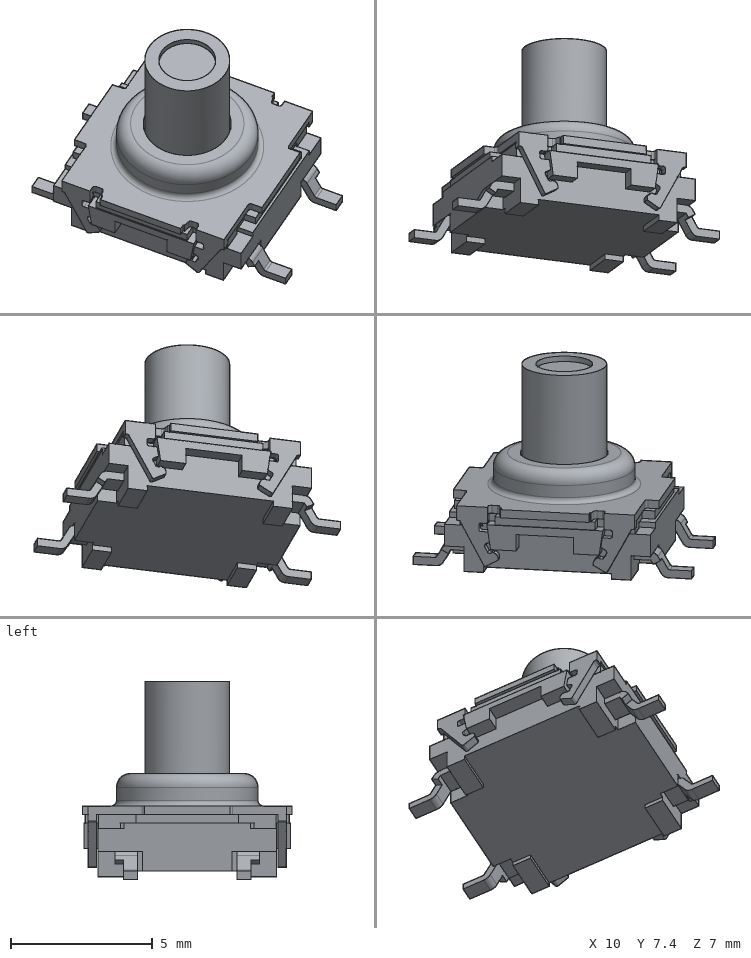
import cadquery as cq
import math

base_bottom = 0.3
foot_bottom = 0.1
recess_top = 1.0
ledge_top = 1.8
base_top = 2.0
seal_top = 2.3
cover_top = 2.6
dome_top = 3.75
plunger_top = 7.0

base_half_x = 3.7
base_half_y = 3.15
plateau_half_x = 2.33
plateau_half_y = 2.23
foot_inner_x = 2.3
foot_inner_y = 1.75
recess_wall_x = 3.0
recess_wall_y = 1.58

boss_face_y = 3.65
boss_top_half = 2.08
boss_bottom_half = 1.95
boss_bottom = 1.1
boss_notch_half = 1.03
boss_notch_top = 1.7

seal_half = 3.14
seal_tab_half_width = 1.8
seal_tab_reach = 3.6
seal_slot_half_x = 2.4
seal_slot_half_y = 2.36

cover_reach = 3.7
cover_half_x = 3.2
cover_half_y = 3.5
side_tab_half = 1.5
end_tab_half = 1.59
notch_outer_x = 2.09
notch_inner_x = 1.71
notch_floor_y = 3.2
notch_radius = 0.1

leg_shoulder = 2.07
leg_shoulder_x = 3.09
leg_shoulder_radius = 0.1
leg_toe = (2.19, 0.41)
leg_toe_radius = 0.06
window_inner_x = 2.32
window_bottom = 1.7
window_radius = 0.08

hook_tip = (1.71, 0.68)
hook_side = (1.71, 0.75)
hook_crown = (1.77, 0.89)
hook_top = (1.87, 0.95)
hook_throat_start = (1.93, 0.95)
hook_throat = (2.0, 0.92)
hook_throat_end = (2.08, 0.95)
hook_gap_side = (2.18, 1.13)
hook_gap_corner = (2.19, 1.2)
hook_gap_top = (2.15, 1.25)
hook_gap_exit = 1.36

dome_radius = 2.5
dome_edge_radius = 0.5
dome_root_radius = 0.2
dome_bore_radius = 1.55
plunger_radius = 1.5
plunger_recess_radius = 1.0
plunger_recess_depth = 0.2

terminal_thickness = 0.3
terminal_reach = 5.0
terminal_bend_x = 3.595
terminal_slope = math.radians(60)
terminal_heel_radius = 0.1
terminal_inner_y = foot_inner_y
terminal_outer_y = 2.25
ear_outer_y = 2.55
ear_drop = 0.15

arc_share = 1 - math.sqrt(0.5)


def centred_block(half_x, half_y, bottom, top):
    """Box centred on the Z axis between two heights."""
    height = top - bottom
    return cq.Workplane("XY", origin=(0, 0, bottom)).rect(2 * half_x, 2 * half_y).extrude(height)


def corner_block(x_range, y_range, z_range):
    """Box given by its limits along X, Y and Z."""
    size = [high - low for low, high in (x_range, y_range, z_range)]
    origin = (x_range[0], y_range[0], z_range[0])
    return cq.Workplane("XY", origin=origin).box(*size, centered=False)


def xz_sketch(y):
    """Workplane with local axes X and Z, whose negative extrusion runs toward +Y."""
    return cq.Workplane("XZ", origin=(0, y, 0))


def both_ends(body):
    """The body and its mirror image across the XZ plane."""
    return body.union(body.mirror("XZ"))


def four_corners(body):
    """The body of the +X +Y quadrant, repeated in all four quadrants."""
    pair = body.union(body.mirror("YZ"))
    return both_ends(pair)


def make_boss():
    depth = boss_face_y - base_half_y
    boss = xz_sketch(base_half_y).polyline([
        (-boss_top_half, base_top),
        (-boss_bottom_half, boss_bottom),
        (-boss_notch_half, boss_bottom),
        (-boss_notch_half, boss_notch_top),
        (boss_notch_half, boss_notch_top),
        (boss_notch_half, boss_bottom),
        (boss_bottom_half, boss_bottom),
        (boss_top_half, base_top),
    ]).close().extrude(-depth)
    return both_ends(boss)


def make_base():
    body = centred_block(base_half_x, base_half_y, base_bottom, ledge_top)
    body = body.union(centred_block(base_half_x, plateau_half_y, ledge_top, base_top))
    body = body.union(centred_block(plateau_half_x, base_half_y, ledge_top, base_top))
    recess = corner_block(
        (recess_wall_x, base_half_x), (recess_wall_y, base_half_y), (base_bottom, recess_top)
    )
    foot = corner_block(
        (foot_inner_x, recess_wall_x), (foot_inner_y, base_half_y), (foot_bottom, base_bottom)
    )
    return body.cut(four_corners(recess)).union(four_corners(foot)).union(make_boss())


def make_seal():
    """Seal plate whose corners drop to the ledge, clear of the raised base plateau."""
    seal = centred_block(seal_half, seal_half, ledge_top, seal_top)
    seal = seal.cut(centred_block(seal_half, seal_slot_half_y, ledge_top, base_top))
    seal = seal.cut(centred_block(seal_slot_half_x, seal_half, ledge_top, base_top))
    seal = seal.union(centred_block(seal_tab_reach, seal_tab_half_width, base_top, seal_top))
    return seal.union(centred_block(seal_tab_half_width, seal_tab_reach, base_top, seal_top))


def make_cover_plate():
    thickness = cover_top - seal_top
    plate = centred_block(cover_half_x, cover_half_y, seal_top, cover_top)
    plate = plate.union(centred_block(cover_reach, side_tab_half, seal_top, cover_top))
    tab_roots = cq.selectors.BoxSelector(
        (-cover_half_x - notch_radius, -side_tab_half - notch_radius, seal_top),
        (cover_half_x + notch_radius, side_tab_half + notch_radius, cover_top),
    )
    plate = plate.edges("|Z").edges(tab_roots).fillet(notch_radius)
    plate = plate.union(centred_block(end_tab_half, cover_reach, seal_top, cover_top))
    notch = cq.Workplane("XY", origin=(0, 0, seal_top)).polyline([
        (notch_outer_x, cover_reach),
        (notch_outer_x, notch_floor_y),
        (notch_inner_x, notch_floor_y),
        (end_tab_half, cover_reach),
    ]).close().extrude(thickness)
    notch = notch.faces("<Y").edges("|Z").fillet(notch_radius)
    return plate.cut(four_corners(notch))


def make_latch_legs():
    """Slanted legs in the end planes that hook under the latch bosses."""
    window_arc = window_radius * arc_share
    window_side = window_inner_x + window_radius
    flare_x = notch_outer_x + window_radius
    leg = (
        xz_sketch(notch_floor_y)
        .moveTo(notch_outer_x, cover_top)
        .lineTo(cover_half_x, cover_top)
        .lineTo(cover_half_x, leg_shoulder)
        .lineTo(leg_shoulder_x, leg_shoulder)
        .lineTo(*leg_toe)
        .lineTo(*hook_tip)
        .lineTo(*hook_side)
        .threePointArc(hook_crown, hook_top)
        .lineTo(*hook_throat_start)
        .threePointArc(hook_throat, hook_throat_end)
        .lineTo(*hook_gap_side)
        .threePointArc(hook_gap_corner, hook_gap_top)
        .lineTo(boss_bottom_half, hook_gap_exit)
        .lineTo(boss_bottom_half, window_bottom)
        .lineTo(window_inner_x, window_bottom)
        .threePointArc(
            (window_side - window_arc, window_bottom + window_arc),
            (window_side, window_bottom + window_radius),
        )
        .lineTo(window_side, base_top - window_radius)
        .threePointArc(
            (window_side - window_arc, base_top - window_arc),
            (window_inner_x, base_top),
        )
        .lineTo(flare_x, base_top)
        .threePointArc(
            (notch_outer_x + window_arc, base_top + window_arc),
            (notch_outer_x, base_top + window_radius),
        )
        .close()
        .extrude(notch_floor_y - cover_half_y)
    )
    mid_y = (notch_floor_y + cover_half_y) / 2
    for x, z, radius in (
        (leg_shoulder_x, leg_shoulder, leg_shoulder_radius),
        (*leg_toe, leg_toe_radius),
    ):
        corner = cq.selectors.NearestToPointSelector((x, mid_y, z))
        leg = leg.edges("|Y").edges(corner).fillet(radius)
    return four_corners(leg)


def make_dome():
    root_arc = dome_root_radius * arc_share
    edge_arc = dome_edge_radius * arc_share
    profile = (
        cq.Workplane("XZ")
        .moveTo(dome_bore_radius, cover_top)
        .lineTo(dome_radius + dome_root_radius, cover_top)
        .threePointArc(
            (dome_radius + root_arc, cover_top + root_arc),
            (dome_radius, cover_top + dome_root_radius),
        )
        .lineTo(dome_radius, dome_top - dome_edge_radius)
        .threePointArc(
            (dome_radius - edge_arc, dome_top - edge_arc),
            (dome_radius - dome_edge_radius, dome_top),
        )
        .lineTo(dome_bore_radius, dome_top)
        .close()
    )
    return profile.revolve(360, (0, 0, 0), (0, 1, 0))


def make_plunger():
    plunger = cq.Workplane("XY", origin=(0, 0, cover_top)).circle(plunger_radius)
    plunger = plunger.extrude(plunger_top - cover_top)
    return plunger.faces(">Z").workplane().circle(plunger_recess_radius).cutBlind(-plunger_recess_depth)


def make_terminals():
    """Gull-wing terminals, each with a short ear beside its upper bend."""
    thickness = terminal_thickness
    inner_x = terminal_bend_x
    inner_z = recess_top - thickness

    def bend_offset(angle):
        return thickness * math.sin(angle), thickness * math.cos(angle)

    mid_x, mid_z = bend_offset(terminal_slope / 2)
    end_x, end_z = bend_offset(terminal_slope)
    heel_x = inner_x + end_x + (inner_z + end_z - thickness) / math.tan(terminal_slope)
    strip = (
        xz_sketch(terminal_inner_y)
        .moveTo(recess_wall_x, recess_top)
        .lineTo(inner_x, recess_top)
        .threePointArc((inner_x + mid_x, inner_z + mid_z), (inner_x + end_x, inner_z + end_z))
        .lineTo(heel_x, thickness)
        .lineTo(terminal_reach, thickness)
        .lineTo(terminal_reach, 0)
        .lineTo(heel_x, 0)
        .threePointArc((heel_x - mid_x, thickness - mid_z), (heel_x - end_x, thickness - end_z))
        .lineTo(inner_x, inner_z)
        .lineTo(recess_wall_x, inner_z)
        .close()
        .extrude(terminal_inner_y - terminal_outer_y)
    )
    mid_y = (terminal_inner_y + terminal_outer_y) / 2
    heel = cq.selectors.NearestToPointSelector((heel_x, mid_y, thickness))
    strip = strip.edges(heel).fillet(terminal_heel_radius)

    ear_x = ear_drop / math.tan(terminal_slope)
    ear = (
        xz_sketch(terminal_outer_y)
        .moveTo(recess_wall_x, recess_top)
        .lineTo(inner_x, recess_top)
        .threePointArc((inner_x + mid_x, inner_z + mid_z), (inner_x + end_x, inner_z + end_z))
        .lineTo(inner_x + end_x + ear_x, inner_z + end_z - ear_drop)
        .lineTo(inner_x + ear_x, inner_z - ear_drop)
        .lineTo(inner_x, inner_z)
        .lineTo(recess_wall_x, inner_z)
        .close()
        .extrude(terminal_outer_y - ear_outer_y)
    )
    return four_corners(strip.union(ear))


result = (
    make_base()
    .union(make_seal())
    .union(make_cover_plate())
    .union(make_latch_legs())
    .union(make_dome())
    .union(make_plunger())
    .union(make_terminals())
)